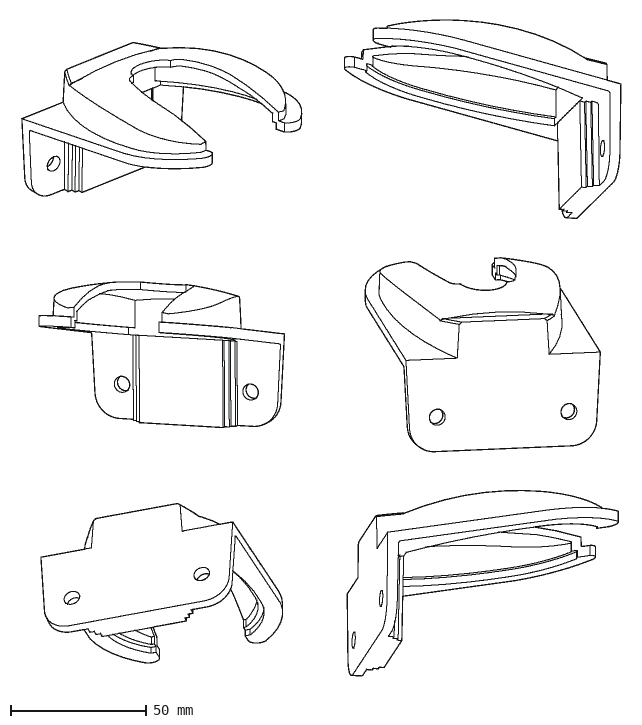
import cadquery as cq
import math

length = 90.4
width = 74.0
height = 59.4
half_width = width / 2

plate_back_top = 34.8
plate_angle = math.radians(11.9)
plate_drop = 4.0

wall_top_thickness = 4.2
wall_bottom_thickness = 3.8
wall_bottom_half_width = 35.15
wall_corner_radius = 9.6
inside_fillet = 1.1
hole_diameter = 6.0
hole_offset = 25.0
hole_height = 12.9

pad_steps = [(19.9, 6.0), (18.1, 7.9), (16.3, 9.7)]
pad_lean = 0.6

slot_half_width = 17.2

body_end = 84.2
body_outline_top = 56.0
body_draft = 3.0
body_tail = 2.7
crown_radius = 124.7
crown_top = 60.5
roof_start = (9.1, 49.8)
roof_middle = (58.7, crown_top)
roof_end_height = 57.5
roof_slope = (roof_end_height - crown_top) / (body_end - roof_middle[0])
shoulder_height = 48.25
shoulder_chamfer = 0.8

roof_thickness = 2.9
side_thickness = 3.6
hollow_start = 10.4
rim_thickness = 1.4
recess_depth = 2.7


def plate_top(x):
    """Height of the sloping plate's upper face."""
    return plate_back_top + x * math.tan(plate_angle)


def mirrored_prism(half_outline, bottom, top):
    """Extrude a closed outline together with its mirror image across the XZ plane."""
    half = half_outline.extrude(top - bottom).translate((0, 0, bottom))
    return half.union(half.mirror("XZ"))


def fork_prism():
    outline = (
        cq.Workplane("XY")
        .lineTo(0, half_width)
        .lineTo(60.4, half_width)
        .threePointArc((77.7, 32.4), (89.55, 23.2))
        .threePointArc((length, 20.6), (87.65, slot_half_width))
        .lineTo(87.65, 0)
        .close()
    )
    return mirrored_prism(outline, 0, height)


def slot_prism():
    outline = (
        cq.Workplane("XY")
        .moveTo(23.9, 0)
        .threePointArc((25.9, 5.7), (30.8, 8.9))
        .threePointArc((31.45, 10.9), (33.25, 12.5))
        .threePointArc((43.7, 15.6), (55.9, slot_half_width))
        .lineTo(length, slot_half_width)
        .lineTo(length, 0)
        .close()
    )
    return mirrored_prism(outline, 0, height)


def bracket_profile():
    """Side section of the wall and plate, extruded over the full width."""
    inner_corner_height = plate_top(wall_top_thickness) - plate_drop
    section = (
        cq.Workplane("XZ")
        .polyline([
            (0, 0),
            (0, plate_back_top),
            (length, plate_top(length)),
            (length, plate_top(length) - plate_drop),
            (wall_top_thickness, inner_corner_height),
            (wall_bottom_thickness, 0),
        ])
        .close()
        .extrude(half_width, both=True)
    )
    inner_edge = cq.selectors.NearestToPointSelector((wall_top_thickness, 0, inner_corner_height))
    return section.edges(inner_edge).fillet(inside_fillet)


def drafted_sides():
    """Side limits that narrow below the plate, swept along the plate's slope."""
    side_draft = (half_width - wall_bottom_half_width) / plate_back_top
    depth = plate_top(length)
    foot_half_width = half_width - side_draft * depth
    foot_height = plate_back_top - depth
    section = (
        cq.Workplane("YZ")
        .polyline([
            (-foot_half_width, foot_height),
            (-half_width, plate_back_top),
            (-half_width, height),
            (half_width, height),
            (half_width, plate_back_top),
            (foot_half_width, foot_height),
        ])
        .close()
    )
    face = cq.Face.makeFromWires(section.wires().val())
    slope = cq.Vector(length, 0, length * math.tan(plate_angle))
    return cq.Workplane(cq.Solid.extrudeLinear(face, slope))


def pad_step(half_step, depth):
    return (
        cq.Workplane("XZ")
        .polyline([
            (0, 0),
            (0, plate_top(0) - plate_drop / 2),
            (depth + pad_lean, plate_top(depth + pad_lean) - plate_drop / 2),
            (depth + pad_lean, plate_top(depth + pad_lean) - plate_drop),
            (depth, 0),
        ])
        .close()
        .extrude(half_step, both=True)
    )


def body_outline():
    """Upper outline of the body, running past the wall so the wall face can trim it."""
    return (
        cq.Workplane("XY", origin=(0, 0, body_outline_top))
        .moveTo(-body_tail, -14.6)
        .lineTo(0, -16.2)
        .threePointArc((28.0, -28.4), (58.7, -31.7))
        .threePointArc((74.8, -27.5), (body_end, -19.6))
        .lineTo(body_end, 19.6)
        .threePointArc((74.8, 27.5), (58.7, 31.7))
        .threePointArc((28.0, 28.4), (0, 16.2))
        .lineTo(-body_tail, 14.6)
        .close()
    )


def body_prism():
    """Drafted body sides, wider towards the plate."""
    above = body_outline().extrude(height - body_outline_top, taper=body_draft)
    below = body_outline().extrude(-body_outline_top, taper=-body_draft)
    return above.union(below)


def crowned_block(lowering):
    """Block under the roof, round along X and revolved about an axis parallel to X."""
    axis_height = crown_top - crown_radius
    section = (
        cq.Workplane("XZ")
        .moveTo(roof_start[0], axis_height)
        .lineTo(roof_start[0], roof_start[1] - lowering)
        .threePointArc(
            (roof_middle[0], roof_middle[1] - lowering),
            (body_end, roof_end_height - lowering),
        )
        .lineTo(length, roof_end_height - lowering + roof_slope * (length - body_end))
        .lineTo(length, axis_height)
        .close()
    )
    return section.revolve(360, (0, axis_height, 0), (1, axis_height, 0))


def space_above(offset):
    """Everything above a plane parallel to the plate's upper face."""
    return (
        cq.Workplane("XZ")
        .polyline([
            (0, plate_top(0) + offset),
            (0, height),
            (length, height),
            (length, plate_top(length) + offset),
        ])
        .close()
        .extrude(half_width, both=True)
    )


def raised_body():
    prism = body_prism().intersect(space_above(-plate_drop / 2))
    back_length = roof_start[0]
    back_box = cq.Workplane("XY").box(back_length, width, shoulder_height, centered=(False, True, False))
    front_box = (
        cq.Workplane("XY")
        .box(length - back_length, width, height, centered=(False, True, False))
        .translate((back_length, 0, 0))
    )
    shoulder = prism.intersect(back_box)
    shoulder = shoulder.faces(">Z").edges("not(|Y)").chamfer(shoulder_chamfer)
    dome = prism.intersect(front_box).intersect(crowned_block(0))
    return shoulder.union(dome)


def hollow():
    """Cavity under the roof, widened by a shallow recess in the plate's underside."""
    inner = body_outline().offset2D(-side_thickness).extrude(-body_outline_top)
    cavity = inner.intersect(crowned_block(roof_thickness))
    rim = body_outline().offset2D(-rim_thickness).extrude(-body_outline_top)
    recess = rim.cut(space_above(recess_depth - plate_drop))
    front = (
        cq.Workplane("XY")
        .box(length, width, height, centered=(False, True, False))
        .translate((hollow_start, 0, 0))
    )
    above_pad_foot = space_above(-2 * plate_drop)
    return cavity.union(recess).intersect(front).intersect(above_pad_foot)


def screw_holes():
    return (
        cq.Workplane("YZ")
        .pushPoints([(-hole_offset, hole_height), (hole_offset, hole_height)])
        .circle(hole_diameter / 2)
        .extrude(2 * wall_top_thickness)
    )


bracket = bracket_profile().intersect(fork_prism()).intersect(drafted_sides())
bracket = bracket.faces("<Z").edges("<Y or >Y").fillet(wall_corner_radius)
for half_step, depth in pad_steps:
    bracket = bracket.union(pad_step(half_step, depth))

result = bracket.union(raised_body()).cut(hollow()).cut(slot_prism()).cut(screw_holes())